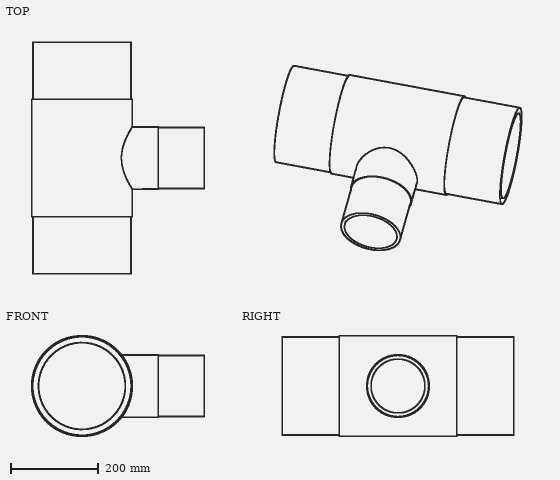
import cadquery as cq

run_length = 530.0
run_diameter = 225.0
run_bore = 198.0
run_collar_diameter = 230.5
run_collar_length = 269.0

overall_width = 395.5
branch_reach = overall_width - run_collar_diameter / 2
branch_diameter = 140.0
branch_bore = 123.5
branch_collar_diameter = 143.0
branch_collar_reach = 175.0


def run_cylinder(diameter, length):
    """Cylinder along Y, centred on the origin."""
    return cq.Workplane("XZ").circle(diameter / 2).extrude(length / 2, both=True)


def branch_cylinder(diameter, reach):
    """Cylinder from the main pipe axis out along +X."""
    return cq.Workplane("YZ").circle(diameter / 2).extrude(reach)


run_body = run_cylinder(run_diameter, run_length).union(
    run_cylinder(run_collar_diameter, run_collar_length)
)
branch_body = branch_cylinder(branch_diameter, branch_reach).union(
    branch_cylinder(branch_collar_diameter, branch_collar_reach)
)

result = (
    run_body.union(branch_body)
    .cut(run_cylinder(run_bore, run_length))
    .cut(branch_cylinder(branch_bore, branch_reach))
)